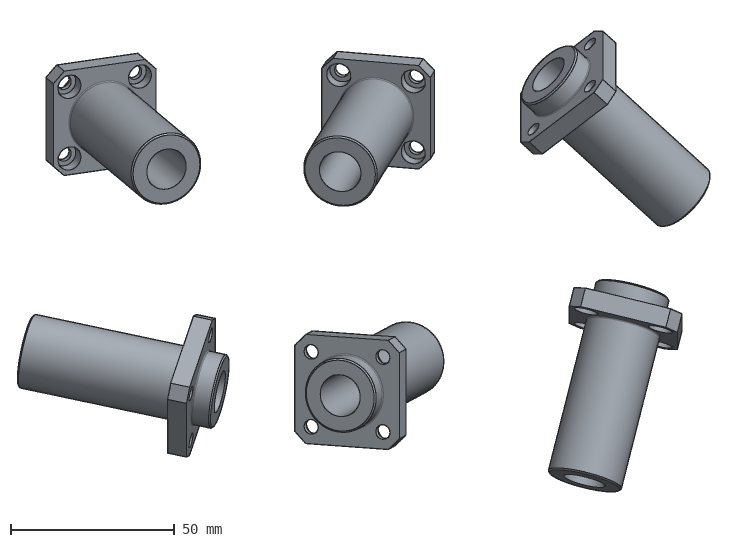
import cadquery as cq

sleeve_length = 61.0
sleeve_diameter = 23.0
bore_diameter = 13.0
end_chamfer = 0.5

flange_width = 34.0
flange_thickness = 6.0
flange_start = 6.0
flange_corner_cut = 3.6
root_fillet = 0.3

hole_diameter = 4.5
counterbore_diameter = 7.5
counterbore_depth = 4.1
hole_spacing = 23.3


def make_sleeve():
    """Solid cylinder with both rims chamfered."""
    cylinder = cq.Workplane("YZ").circle(sleeve_diameter / 2).extrude(sleeve_length)
    return cylinder.faces("<X or >X").edges().chamfer(end_chamfer)


def make_flange():
    """Square plate with its four corners cut at 45 degrees."""
    plate = (
        cq.Workplane("YZ", origin=(flange_start, 0, 0))
        .rect(flange_width, flange_width)
        .extrude(flange_thickness)
    )
    return plate.edges("|X").chamfer(flange_corner_cut)


def fillet_flange_roots(body):
    """Round the two inside corners where the flange faces meet the sleeve."""
    flange_faces_x = (flange_start, flange_start + flange_thickness)
    for x in flange_faces_x:
        root = cq.selectors.BoxSelector(
            (x - root_fillet, -sleeve_diameter, -sleeve_diameter),
            (x + root_fillet, sleeve_diameter, sleeve_diameter),
        )
        body = body.edges("%CIRCLE").edges(root).fillet(root_fillet)
    return body


def make_hole_pattern(x, diameter, depth):
    """Four parallel cylinders on the mounting pattern, starting at x."""
    return (
        cq.Workplane("YZ", origin=(x, 0, 0))
        .rect(hole_spacing, hole_spacing, forConstruction=True)
        .vertices()
        .circle(diameter / 2)
        .extrude(depth)
    )


def make_mounting_holes():
    """Cutter for the through holes and their counterbores."""
    counterbore_start = flange_start + flange_thickness - counterbore_depth
    through_holes = make_hole_pattern(flange_start, hole_diameter, flange_thickness)
    counterbores = make_hole_pattern(counterbore_start, counterbore_diameter, counterbore_depth)
    return through_holes.union(counterbores)


def make_bore():
    """Cutter for the plain through bore."""
    return cq.Workplane("YZ").circle(bore_diameter / 2).extrude(sleeve_length)


body = fillet_flange_roots(make_sleeve().union(make_flange()))
result = body.cut(make_mounting_holes()).cut(make_bore())